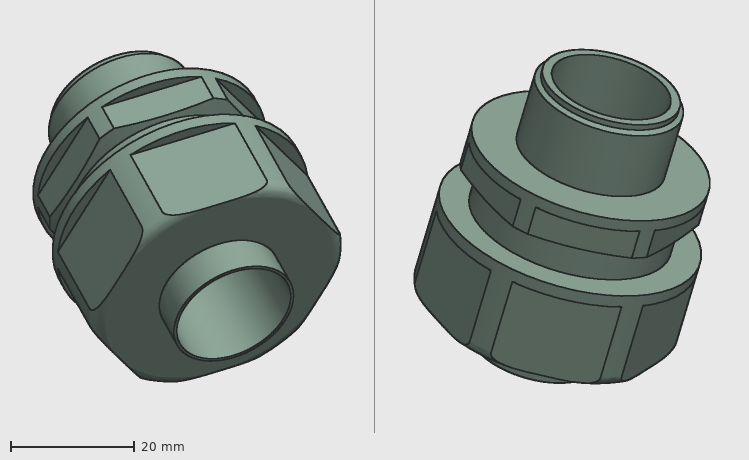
import cadquery as cq
import math

BORE_DIAMETER = 20.0
PILOT_DIAMETER = 23.16
THREAD_DIAMETER = 25.0
NECK_DIAMETER = 34.0
BODY_FLANGE_DIAMETER = 40.0
NUT_FLANGE_DIAMETER = 44.0
SLEEVE_DIAMETER = 21.0

BODY_HEX_ACROSS_FLATS = 36.0
NUT_HEX_ACROSS_FLATS = 40.0

TOTAL_LENGTH = 50.0
PILOT_LENGTH = 1.0
THREAD_LENGTH = 12.1
FLANGE_THICKNESS = 2.0
BODY_HEX_LENGTH = 5.9
NECK_LENGTH = 5.2
NUT_FLANGE_THICKNESS = 2.1
NUT_HEX_LENGTH = 15.5

THREAD_CHAMFER_ANGLE = 30.0
HEX_CHAMFER_ANGLE = 15.0
NUT_ROUNDING_RADIUS = 2.0

THREAD_START = PILOT_LENGTH
BODY_FLANGE_START = THREAD_START + THREAD_LENGTH
BODY_HEX_START = BODY_FLANGE_START + FLANGE_THICKNESS
BODY_HEX_END = BODY_HEX_START + BODY_HEX_LENGTH
NUT_FLANGE_START = BODY_HEX_END + NECK_LENGTH
NUT_HEX_START = NUT_FLANGE_START + NUT_FLANGE_THICKNESS
NUT_HEX_END = NUT_HEX_START + NUT_HEX_LENGTH


def cylinder(diameter, start, end):
    """Cylinder on the X axis between two X positions."""
    return cq.Workplane("YZ").workplane(offset=start).circle(diameter / 2).extrude(end - start)


def hex_prism(across_flats, start, end):
    """Hexagonal prism on the X axis with two flats facing +Z and -Z."""
    across_corners = across_flats / math.cos(math.radians(30))
    return cq.Workplane("YZ").workplane(offset=start).polygon(6, across_corners).extrude(end - start)


def cut_flats(blank, across_flats, start, end):
    """Cut six wrench flats into a round blank between two X positions."""
    outer_diameter = 2 * across_flats
    flat_cutter = cylinder(outer_diameter, start, end).cut(hex_prism(across_flats, start, end))
    return blank.cut(flat_cutter)


def make_thread_end():
    """Pilot and threaded spigot joined by a conical lead-in."""
    pilot_radius = PILOT_DIAMETER / 2
    thread_radius = THREAD_DIAMETER / 2
    cone_length = (thread_radius - pilot_radius) * math.tan(math.radians(THREAD_CHAMFER_ANGLE))
    return (
        cq.Workplane("XY")
        .lineTo(0, pilot_radius)
        .lineTo(THREAD_START, pilot_radius)
        .lineTo(THREAD_START + cone_length, thread_radius)
        .lineTo(BODY_FLANGE_START, thread_radius)
        .lineTo(BODY_FLANGE_START, 0)
        .close()
        .revolve(360, (0, 0, 0), (1, 0, 0))
    )


def make_body():
    """Round flange with a wrench hexagon whose rear corners slope down to the neck."""
    neck_radius = NECK_DIAMETER / 2
    flange_radius = BODY_FLANGE_DIAMETER / 2
    slope_length = (flange_radius - neck_radius) * math.tan(math.radians(HEX_CHAMFER_ANGLE))
    blank = (
        cq.Workplane("XY")
        .moveTo(BODY_FLANGE_START, 0)
        .lineTo(BODY_FLANGE_START, flange_radius)
        .lineTo(BODY_HEX_END - slope_length, flange_radius)
        .lineTo(BODY_HEX_END, neck_radius)
        .lineTo(BODY_HEX_END, 0)
        .close()
        .revolve(360, (0, 0, 0), (1, 0, 0))
    )
    return cut_flats(blank, BODY_HEX_ACROSS_FLATS, BODY_HEX_START, BODY_HEX_END)


def make_nut():
    """Round flange with a wrench hexagon whose rear corners are rounded."""
    blank = cylinder(NUT_FLANGE_DIAMETER, NUT_FLANGE_START, NUT_HEX_END)
    blank = blank.faces(">X").edges().fillet(NUT_ROUNDING_RADIUS)
    return cut_flats(blank, NUT_HEX_ACROSS_FLATS, NUT_HEX_START, NUT_HEX_END)


def make_fitting():
    """Complete fitting with a through bore."""
    neck = cylinder(NECK_DIAMETER, BODY_HEX_END, NUT_FLANGE_START)
    sleeve = cylinder(SLEEVE_DIAMETER, NUT_HEX_END, TOTAL_LENGTH)
    fitting = make_thread_end().union(make_body()).union(neck).union(make_nut()).union(sleeve)
    return fitting.cut(cylinder(BORE_DIAMETER, 0, TOTAL_LENGTH))


result = make_fitting()